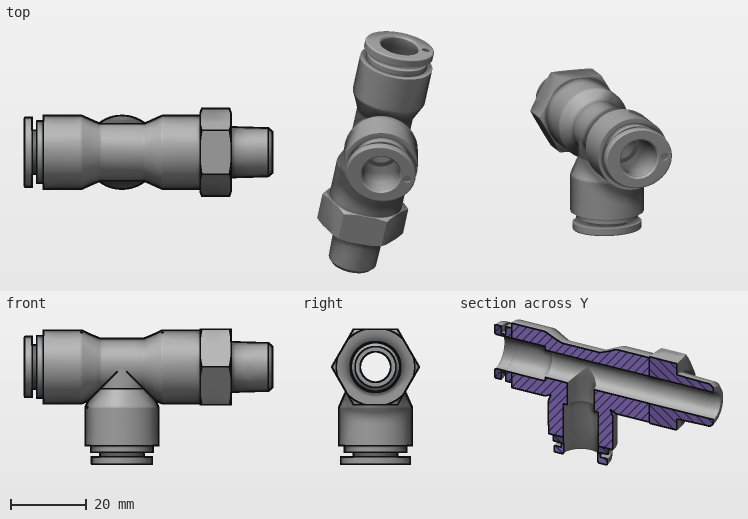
import cadquery as cq
import math

TOTAL_LENGTH = 65.4
PORT_REACH = 25.7

FLANGE_LONG = 18.45
FLANGE_SHORT = 16.1
FLANGE_THICKNESS = 2.0
FLANGE_RIM_RADIUS = 0.4
SLEEVE_NECK_DIA = 11.7
SLEEVE_BORE_DIA = 10.15
BORE_CHAMFER = 0.4
MARK_DIA = 2.0
MARK_OFFSET = 7.0
MARK_DEPTH = 0.65

COLLAR_START = 3.2
COLLAR_DIA = 16.5
COLLAR_EDGE_RADIUS = 0.2

HOUSING_START = 5.0
HOUSING_DIA = 19.4
WAIST_DIA = 15.05
SHOULDER_END = 15.05
WAIST_START = 19.95
TAPER_BLEND_RADIUS = 1.0
BLEND_MARGIN = 0.65
TUBE_BORE_DIA = 10.2
TUBE_STOP = SHOULDER_END
FLOW_BORE_DIA = 8.0

HEX_START = 46.3
HEX_WIDTH = 8.2
HEX_ACROSS_FLATS = 20.0
HEX_FACE_DIA = 20.65
HEX_BEVEL = 0.45
THREAD_START = HEX_START + HEX_WIDTH
THREAD_DIA = 13.4
THREAD_TAPER = 1 / 16
THREAD_TIP_CHAMFER = 1.1
THREAD_TIP_DIA = 10.8

AXES_CROSSING = (PORT_REACH, 0, 0)


def rod(start, end, diameter):
    """Cylinder along X from start to end."""
    return cq.Workplane("YZ", origin=(start, 0, 0)).circle(diameter / 2).extrude(end - start)


def turned(profile):
    """Solid of revolution about the X axis from (x, radius) points."""
    return cq.Workplane("XY").polyline(profile).close().revolve(360, (0, 0), (1, 0))


def turn_to_branch(body):
    """Swing a body from the run port (-X) to the branch port (-Z)."""
    return body.rotate(AXES_CROSSING, (PORT_REACH, 1, 0), -90)


def release_sleeve():
    flange = (
        cq.Workplane("YZ")
        .ellipse(FLANGE_LONG / 2, FLANGE_SHORT / 2)
        .extrude(FLANGE_THICKNESS)
        .faces("<X").edges().fillet(FLANGE_RIM_RADIUS)
    )
    neck = rod(FLANGE_THICKNESS, COLLAR_START, SLEEVE_NECK_DIA)
    sleeve = flange.union(neck).cut(rod(0, COLLAR_START, SLEEVE_BORE_DIA))

    bore_radius = SLEEVE_BORE_DIA / 2
    lead_in = turned([(0, 0), (0, bore_radius + BORE_CHAMFER), (BORE_CHAMFER, bore_radius), (BORE_CHAMFER, 0)])
    mark = rod(0, MARK_DEPTH, MARK_DIA).translate((0, -MARK_OFFSET, 0))
    return sleeve.cut(lead_in).cut(mark)


def collar():
    ring = rod(COLLAR_START, HOUSING_START, COLLAR_DIA).faces("<X").edges().fillet(COLLAR_EDGE_RADIUS)
    return ring.cut(rod(COLLAR_START, HOUSING_START, TUBE_BORE_DIA))


def housing_arm(waist_corner_blended):
    """Solid arm from the port to the axes' crossing, waisted towards the crossing."""
    full_radius = HOUSING_DIA / 2
    waist_radius = WAIST_DIA / 2
    arm = turned([
        (HOUSING_START, 0),
        (HOUSING_START, full_radius),
        (SHOULDER_END, full_radius),
        (WAIST_START, waist_radius),
        (PORT_REACH, waist_radius),
        (PORT_REACH, 0),
    ])
    blend_end = PORT_REACH - BLEND_MARGIN if waist_corner_blended else WAIST_START - BLEND_MARGIN
    blended_corners = cq.selectors.BoxSelector(
        (HOUSING_START + BLEND_MARGIN, -HOUSING_DIA, -HOUSING_DIA),
        (blend_end, HOUSING_DIA, HOUSING_DIA),
    )
    return arm.edges("%CIRCLE").edges(blended_corners).fillet(TAPER_BLEND_RADIUS)


def tee_housing():
    run_arm = housing_arm(waist_corner_blended=True)
    far_arm = run_arm.mirror("YZ", AXES_CROSSING)
    far_arm = far_arm.intersect(rod(PORT_REACH, HEX_START, HOUSING_DIA))
    branch_arm = turn_to_branch(housing_arm(waist_corner_blended=False))
    outside = run_arm.union(far_arm).union(branch_arm)

    tube_socket = rod(HOUSING_START, TUBE_STOP, TUBE_BORE_DIA)
    flow_to_port = rod(TUBE_STOP, PORT_REACH, FLOW_BORE_DIA)
    flow_to_thread = rod(PORT_REACH, HEX_START, FLOW_BORE_DIA)
    body = outside.cut(tube_socket).cut(turn_to_branch(tube_socket))
    return body.cut(flow_to_port.union(flow_to_thread).union(turn_to_branch(flow_to_port)))


def threaded_nipple():
    corner_dia = HEX_ACROSS_FLATS / math.cos(math.radians(30))
    hexagon = cq.Workplane("YZ", origin=(HEX_START, 0, 0)).polygon(6, corner_dia).extrude(HEX_WIDTH)
    bevels = turned([
        (HEX_START, 0),
        (HEX_START, HEX_FACE_DIA / 2),
        (HEX_START + HEX_BEVEL, corner_dia / 2),
        (THREAD_START - HEX_BEVEL, corner_dia / 2),
        (THREAD_START, HEX_FACE_DIA / 2),
        (THREAD_START, 0),
    ])

    chamfer_start = TOTAL_LENGTH - THREAD_TIP_CHAMFER
    thread_end_dia = THREAD_DIA - THREAD_TAPER * (chamfer_start - THREAD_START)
    thread = turned([
        (THREAD_START, 0),
        (THREAD_START, THREAD_DIA / 2),
        (chamfer_start, thread_end_dia / 2),
        (TOTAL_LENGTH, THREAD_TIP_DIA / 2),
        (TOTAL_LENGTH, 0),
    ])
    return hexagon.intersect(bevels).union(thread).cut(rod(HEX_START, TOTAL_LENGTH, FLOW_BORE_DIA))


housing = tee_housing()
nipple = threaded_nipple()

port_bodies = []
for port_body in (release_sleeve(), collar()):
    port_bodies.append(port_body.val())
    port_bodies.append(turn_to_branch(port_body).val())

result = cq.Compound.makeCompound([housing.val(), nipple.val(), *port_bodies])